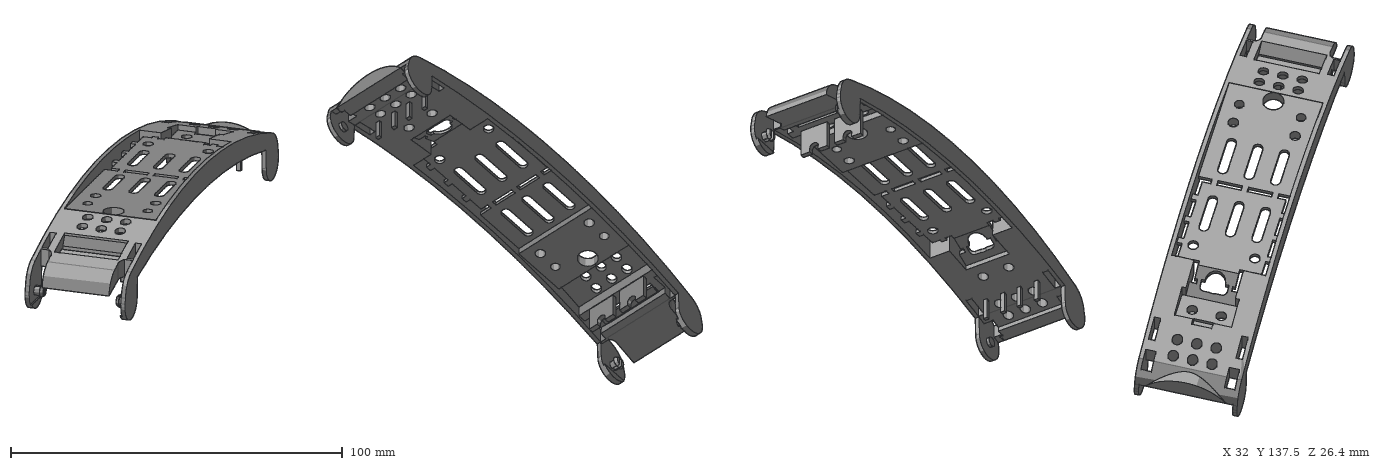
import cadquery as cq
import math

LENGTH = 137.5
WIDTH = 32.0
CROWN_Z = 26.4
WALL = 1.4
INNER_HALF = WIDTH / 2 - WALL
TOP_RADIUS = 182.8
UNDER_CROWN_Z = 18.7
UNDER_RADIUS = 235.1

FOOT_RADIUS = 5.5
FOOT_Y = LENGTH / 2 - FOOT_RADIUS
FOOT_INNER_Y = 57.5
FOOT_STRAIGHT_TOP_Z = 6.7
LIP_Y = 68.3
LIP_BOTTOM_Z = 8.5
BEND_MID = (66.7, 12.6)
FOOT_PAD_TOP_Z = 2.3
FOOT_PAD_THICKNESS = 0.5

FLOOR_Z = 22.4
FLOOR_FAR_Y = 30.0
FLOOR_NEAR_Y = -37.3
PANEL_HALF = 13.0
PANEL_FAR_Y = 28.9
PANEL_NEAR_Y = 0.3
PANEL_GAP_NEAR_Y = -1.4
BRIDGE = 1.9
SIDE_BRIDGE_YS = (23.0, 14.7, 6.3)
END_BRIDGE_X = 9.5

CHANNEL_HALF = 7.7
RAMP_START_Y = 30.4
POCKET_NEAR_Y = 39.3
POCKET_FAR_Y = 48.4
POCKET_HALF = 9.0
POCKET_Z = 18.1
NOTCH_HALF = 3.2
NOTCH_NEAR_Y = 47.0
NOTCH_FAR_Y = 50.0
NOTCH_Z = 17.0
HINGE_INNER_X = 6.3
HINGE_FAR_Y = 35.5
HINGE_HOOK_X = 5.5
HINGE_HOOK_Y = 34.2

HOLE_D = 3.2
SMALL_HOLE_D = 2.9
FINGER_HOLE_R = 3.2
FINGER_HOLE_Y = 34.1
LATCH_HOLE_HALF = 4.3
LATCH_HOLE_FAR_Y = 37.1
LATCH_HOLE_CORNER = 1.4
HOLE_PITCH_X = 6.0
FAR_HOLE_YS = (60.5, 55.5)
NEAR_HOLE_YS = (-40.3, -45.2)
POCKET_HOLE_X = 4.5
POCKET_HOLE_Y = 44.0
FLOOR_HOLE_X = 9.6
FLOOR_HOLE_YS = (23.6, -23.4)
SMALL_HOLE_Y = -30.4
LONG_SLOT_LENGTH = 13.3
LONG_SLOT_WIDTH = 3.0
LONG_SLOT_PITCH_X = 8.2
LONG_SLOT_YS = (11.1, -10.9)
SIDE_SLOT_INNER_X = 12.6
SIDE_SLOT_FAR = (50.3, 57.2)
SIDE_SLOT_NEAR = (-57.5, -50.0)

FAR_WINDOW_INNER_X = 11.4
FAR_WINDOW_YS = (60.4, 66.0)
TONGUE_HALF = 10.7
TONGUE_START_Y = -58.2
TONGUE_CORNER_X = 12.1
TONGUE_CORNER_MID = (11.1, -59.0)
TONGUE_CORNER_Y = -60.2
STRAP_HALF = 10.2
STRAP_FAR_Y = -49.5
STRAP_NEAR_Y = -58.7
STRAP_FAR_SLOPE_TOP_Z = 18.8
STRAP_FAR_SLOPE_END = (-51.1, 16.0)
STRAP_NEAR_SLOPE_END = (-55.3, 14.6)
STRAP_BAR_YS = (-52.4, -54.6)
STRAP_BAR_TOP_Z = 15.4
STRAP_BAR_DROP = 0.7
STRAP_BAR_THICKNESS = 1.0

SHEET = 1.2
SHELL_THICKNESS = 1.5
SHELL_YS = (-47.3, -38.0)
BOSS_BLOCK_YS = (-38.0, -19.2)
BOSS_BLOCK_BOTTOM_Z = 18.8
STRAP_HOLLOW_TOP_Z = 14.7

PIN_RADIUS = 1.5
PIN_INNER_X = 11.7
PIN_BARB_RADIUS = 2.0
PIN_BARB_LENGTH = 1.0
PIN_SPLIT = 1.0
STUB_LENGTH = 1.0
LEG_BOTTOM_Z = 5.9
LEG_TOP_Z = 16.5
LEG_WIDTH = 3.2
LEG_XS = (-9.1, -2.9, 2.9, 9.1)
LEG_ARCH_TOP_Z = 8.7
FAR_LEG_WIDTH = 1.4
NEAR_LEG_YS = (-49.0, -47.4)
FAR_LEG_YS = (52.2, 53.3)
HUMP_HALF = 12.6
HUMP_TOP_Z = 14.7

CUT_TOP = CROWN_Z + 1.4


def box(x0, x1, y0, y1, z0=-1.4, z1=CUT_TOP):
    """Axis-aligned block between opposite corners."""
    return cq.Workplane("XY").box(abs(x1 - x0), abs(y1 - y0), abs(z1 - z0)).translate(
        ((x0 + x1) / 2, (y0 + y1) / 2, (z0 + z1) / 2)
    )


def both_sides(shape):
    """The shape together with its mirror image across the YZ plane."""
    return shape.union(shape.mirror("YZ"))


def top_z(y):
    """Height of the outer arc at a given Y."""
    return CROWN_Z - TOP_RADIUS + math.sqrt(TOP_RADIUS**2 - y**2)


def under_z(y):
    """Height of the arc along the bottom of the walls at a given Y."""
    return UNDER_CROWN_Z - UNDER_RADIUS + math.sqrt(UNDER_RADIUS**2 - y**2)


def outer_arch():
    """Outline from one lip over the crown to the other, in the YZ plane."""
    bend_y, bend_z = BEND_MID
    fold_z = top_z(FOOT_Y)
    return (
        cq.Workplane("YZ")
        .moveTo(-LIP_Y, LIP_BOTTOM_Z)
        .threePointArc((-bend_y, bend_z), (-FOOT_Y, fold_z))
        .threePointArc((0, CROWN_Z), (FOOT_Y, fold_z))
        .threePointArc((bend_y, bend_z), (LIP_Y, LIP_BOTTOM_Z))
    )


def add_underside(outline):
    """Run the outline back along the shallow arc below the crown."""
    end_z = under_z(FOOT_INNER_Y)
    return outline.threePointArc((0, UNDER_CROWN_Z), (-FOOT_INNER_Y, end_z))


def core():
    """Arched slab between the walls, ending in a sharp lip at each end."""
    outline = outer_arch().lineTo(FOOT_INNER_Y, under_z(FOOT_INNER_Y))
    return add_underside(outline).close().extrude(INNER_HALF, both=True)


def side_wall():
    """Side wall on +X with a rounded foot at each end."""
    end_y = LENGTH / 2
    foot_inside_y = FOOT_Y - FOOT_RADIUS
    outline = (
        outer_arch()
        .lineTo(end_y, FOOT_STRAIGHT_TOP_Z)
        .lineTo(end_y, FOOT_RADIUS)
        .threePointArc((FOOT_Y, 0), (foot_inside_y, FOOT_RADIUS))
        .lineTo(FOOT_INNER_Y, under_z(FOOT_INNER_Y))
    )
    outline = (
        add_underside(outline)
        .lineTo(-foot_inside_y, FOOT_RADIUS)
        .threePointArc((-FOOT_Y, 0), (-end_y, FOOT_RADIUS))
        .lineTo(-end_y, FOOT_STRAIGHT_TOP_Z)
        .close()
    )
    return outline.extrude(WALL).translate((INNER_HALF, 0, 0))


def hump():
    """Arched block behind the far end, filling out its rounded bend."""
    return (
        cq.Workplane("XZ")
        .moveTo(-HUMP_HALF, LIP_BOTTOM_Z)
        .threePointArc((0, HUMP_TOP_Z), (HUMP_HALF, LIP_BOTTOM_Z))
        .close()
        .extrude(-(LIP_Y - FOOT_Y))
        .translate((0, FOOT_Y, 0))
    )


def legs(width, y_range):
    """Row of four flat legs hanging under the slab."""
    row = cq.Workplane("XY")
    for x in LEG_XS:
        row = row.union(box(x - width / 2, x + width / 2, *y_range, LEG_BOTTOM_Z, LEG_TOP_Z))
    return row


def near_legs():
    """Near row, whose outer pairs are joined above by round arches."""
    gap_start = LEG_XS[2] + LEG_WIDTH / 2
    gap_end = LEG_XS[3] - LEG_WIDTH / 2
    arch_radius = (gap_end - gap_start) / 2
    spring_z = LEG_ARCH_TOP_Z - arch_radius
    y_start, y_end = NEAR_LEG_YS
    bridge = box(gap_start, gap_end, y_start, y_end, spring_z, LEG_TOP_Z)
    opening = (
        cq.Workplane("XZ", origin=((gap_start + gap_end) / 2, y_end, spring_z))
        .circle(arch_radius).extrude(y_end - y_start)
    )
    return legs(LEG_WIDTH, NEAR_LEG_YS).union(both_sides(bridge.cut(opening)))


def pin_shaft(y, length):
    """Round shaft of the given length on the inside of the +X foot."""
    start = cq.Workplane("YZ", origin=(INNER_HALF - length, y, FOOT_RADIUS))
    return start.circle(PIN_RADIUS).extrude(length)


def snap_pin(y):
    """Split pin with a tapered barb at its tip."""
    barb = cq.Workplane("XY").add(cq.Solid.makeCone(
        PIN_RADIUS, PIN_BARB_RADIUS, PIN_BARB_LENGTH,
        cq.Vector(PIN_INNER_X, y, FOOT_RADIUS), cq.Vector(1, 0, 0),
    ))
    pin = pin_shaft(y, INNER_HALF - PIN_INNER_X).union(barb)
    return pin.cut(box(0, INNER_HALF, y - PIN_SPLIT / 2, y + PIN_SPLIT / 2))


def foot_pad(y):
    """Thin round segment stiffening the bottom of the +X foot."""
    disc = cq.Workplane("YZ").center(y, FOOT_RADIUS).circle(FOOT_RADIUS).extrude(FOOT_PAD_THICKNESS)
    disc = disc.translate((INNER_HALF - FOOT_PAD_THICKNESS, 0, 0))
    return disc.intersect(box(0, INNER_HALF, y - FOOT_RADIUS, y + FOOT_RADIUS, 0, FOOT_PAD_TOP_Z))


def floor_recess():
    """Flat-bottomed recess between the walls."""
    return box(-INNER_HALF, INNER_HALF, FLOOR_NEAR_Y, FLOOR_FAR_Y, FLOOR_Z)


def latch_pocket():
    """Ramp channel from the floor down to a wider pocket with an end notch."""
    channel = (
        cq.Workplane("YZ")
        .polyline([
            (PANEL_FAR_Y, FLOOR_Z),
            (RAMP_START_Y, FLOOR_Z),
            (POCKET_NEAR_Y, POCKET_Z),
            (POCKET_NEAR_Y, CUT_TOP),
            (PANEL_FAR_Y, CUT_TOP),
        ])
        .close()
        .extrude(CHANNEL_HALF, both=True)
    )
    pocket = box(-POCKET_HALF, POCKET_HALF, POCKET_NEAR_Y, POCKET_FAR_Y, POCKET_Z)
    notch = box(-NOTCH_HALF, NOTCH_HALF, NOTCH_NEAR_Y, NOTCH_FAR_Y, NOTCH_Z)
    return channel.union(pocket).union(notch)


def holes(points, diameter):
    """Vertical through-hole cutters at the given points."""
    return cq.Workplane("XY").pushPoints(points).circle(diameter / 2).extrude(CUT_TOP)


def round_holes():
    """Hole grids at both ends, hole pairs in floor and pocket, and the finger holes."""
    grid = [
        (column * HOLE_PITCH_X, y)
        for y in FAR_HOLE_YS + NEAR_HOLE_YS
        for column in (-1, 0, 1)
    ]
    pairs = [(side * FLOOR_HOLE_X, y) for y in FLOOR_HOLE_YS for side in (-1, 1)]
    pairs += [(side * POCKET_HOLE_X, POCKET_HOLE_Y) for side in (-1, 1)]
    small = [(side * FLOOR_HOLE_X, SMALL_HOLE_Y) for side in (-1, 1)]
    finger = [(0, -FINGER_HOLE_Y), (0, FINGER_HOLE_Y)]
    drilled = holes(grid + pairs, HOLE_D).union(holes(small, SMALL_HOLE_D))
    return drilled.union(holes(finger, 2 * FINGER_HOLE_R))


def latch_hole_head():
    """Wider rounded head on the finger hole in the ramp."""
    head = box(-LATCH_HOLE_HALF, LATCH_HOLE_HALF, FINGER_HOLE_Y, LATCH_HOLE_FAR_Y)
    return head.edges("|Z and >Y").fillet(LATCH_HOLE_CORNER)


def long_slots():
    """Two rows of three rounded slots through the floor."""
    points = [
        (column * LONG_SLOT_PITCH_X, y) for y in LONG_SLOT_YS for column in (-1, 0, 1)
    ]
    return (
        cq.Workplane("XY").pushPoints(points)
        .slot2D(LONG_SLOT_LENGTH, LONG_SLOT_WIDTH, 90).extrude(CUT_TOP)
    )


def panel_gaps():
    """Narrow gaps around the panel, interrupted by bridges, with hooks beside the ramp."""
    gaps = box(-INNER_HALF, INNER_HALF, PANEL_GAP_NEAR_Y, FLOOR_FAR_Y)
    gaps = gaps.cut(box(-PANEL_HALF, PANEL_HALF, PANEL_NEAR_Y, PANEL_FAR_Y))
    gaps = gaps.cut(box(-HINGE_INNER_X, HINGE_INNER_X, PANEL_FAR_Y, FLOOR_FAR_Y))
    for y in SIDE_BRIDGE_YS:
        gaps = gaps.cut(box(-INNER_HALF, INNER_HALF, y - BRIDGE / 2, y + BRIDGE / 2))
    gaps = gaps.cut(box(-BRIDGE / 2, BRIDGE / 2, PANEL_GAP_NEAR_Y, PANEL_NEAR_Y))
    end_bridge = box(
        END_BRIDGE_X - BRIDGE / 2, END_BRIDGE_X + BRIDGE / 2, PANEL_GAP_NEAR_Y, FLOOR_FAR_Y
    )
    gaps = gaps.cut(both_sides(end_bridge))
    hinge = box(HINGE_INNER_X, CHANNEL_HALF, PANEL_FAR_Y, HINGE_FAR_Y)
    hook = box(HINGE_HOOK_X, CHANNEL_HALF, HINGE_HOOK_Y, HINGE_FAR_Y)
    return gaps.union(both_sides(hinge.union(hook)))


def edge_openings():
    """Side slots and far corner windows against the walls."""
    opening = box(FAR_WINDOW_INNER_X, INNER_HALF, *FAR_WINDOW_YS)
    for y_range in (SIDE_SLOT_NEAR, SIDE_SLOT_FAR):
        opening = opening.union(box(SIDE_SLOT_INNER_X, INNER_HALF, *y_range))
    return both_sides(opening)


def tongue_relief():
    """Clearance that separates the near lip from the walls and leaves a tongue."""
    side = (
        cq.Workplane("XY")
        .moveTo(INNER_HALF, TONGUE_START_Y)
        .lineTo(TONGUE_CORNER_X, TONGUE_START_Y)
        .threePointArc(TONGUE_CORNER_MID, (TONGUE_HALF, TONGUE_CORNER_Y))
        .lineTo(TONGUE_HALF, -LENGTH / 2)
        .lineTo(INNER_HALF, -LENGTH / 2)
        .close()
        .extrude(CUT_TOP)
    )
    return both_sides(side)


def strap_window():
    """Window through the end shell whose long sides slope inward."""
    return (
        cq.Workplane("YZ")
        .polyline([
            (STRAP_FAR_Y, CUT_TOP),
            (STRAP_FAR_Y, STRAP_FAR_SLOPE_TOP_Z),
            STRAP_FAR_SLOPE_END,
            (STRAP_FAR_SLOPE_END[0], 0),
            (STRAP_NEAR_SLOPE_END[0], 0),
            STRAP_NEAR_SLOPE_END,
            (STRAP_NEAR_Y, top_z(STRAP_NEAR_Y)),
            (STRAP_NEAR_Y, CUT_TOP),
        ])
        .close()
        .extrude(STRAP_HALF, both=True)
    )


def strap_bar():
    """Inclined bar across the window, sunk below the outer surface."""
    far_y, near_y = STRAP_BAR_YS
    far_z = STRAP_BAR_TOP_Z
    near_z = far_z - STRAP_BAR_DROP
    return (
        cq.Workplane("YZ")
        .polyline([
            (far_y, far_z),
            (near_y, near_z),
            (near_y, near_z - STRAP_BAR_THICKNESS),
            (far_y, far_z - STRAP_BAR_THICKNESS),
        ])
        .close()
        .extrude(STRAP_HALF, both=True)
    )


def panel_hollow():
    """Space below the floor sheet and the ramp sheet."""
    ramp_hollow = (
        cq.Workplane("YZ")
        .polyline([
            (BOSS_BLOCK_YS[1], 0),
            (BOSS_BLOCK_YS[1], FLOOR_Z - SHEET),
            (RAMP_START_Y, FLOOR_Z - SHEET),
            (POCKET_NEAR_Y, POCKET_Z - SHEET),
            (POCKET_NEAR_Y, 0),
        ])
        .close()
        .extrude(CHANNEL_HALF, both=True)
    )
    floor_hollow = box(-INNER_HALF, INNER_HALF, BOSS_BLOCK_YS[1], FLOOR_FAR_Y, 0, FLOOR_Z - SHEET)
    return ramp_hollow.union(floor_hollow)


def boss_hollow():
    """Space below the thick block that holds the near screw holes."""
    return box(-INNER_HALF, INNER_HALF, *BOSS_BLOCK_YS, 0, BOSS_BLOCK_BOTTOM_Z)


def shell_hollow():
    """Space below the curved shell around the near hole grid."""
    start_y, end_y = SHELL_YS
    mid_y = (start_y + end_y) / 2
    return (
        cq.Workplane("YZ")
        .moveTo(start_y, 0)
        .lineTo(start_y, top_z(start_y) - SHELL_THICKNESS)
        .threePointArc(
            (mid_y, top_z(mid_y) - SHELL_THICKNESS), (end_y, top_z(end_y) - SHELL_THICKNESS)
        )
        .lineTo(end_y, 0)
        .close()
        .extrude(INNER_HALF, both=True)
    )


def strap_hollow():
    """Open space below the strap window, from the lip to the shell hollow."""
    return box(-INNER_HALF, INNER_HALF, STRAP_NEAR_SLOPE_END[0], SHELL_YS[0], 0, STRAP_HOLLOW_TOP_Z)


def centre_body():
    """Everything between the two walls."""
    body = core().union(hump())
    for hollow in (panel_hollow, boss_hollow, shell_hollow, strap_hollow):
        body = body.cut(hollow())
    body = body.union(near_legs()).union(legs(FAR_LEG_WIDTH, FAR_LEG_YS))
    for cutter in (
        floor_recess, latch_pocket, round_holes, latch_hole_head, long_slots,
        panel_gaps, edge_openings, tongue_relief, strap_window,
    ):
        body = body.cut(cutter())
    return body.union(strap_bar())


def wall_with_feet():
    """+X wall with a snap pin and pad on the near foot and a short stub on the far one."""
    wall = side_wall().union(snap_pin(-FOOT_Y)).union(foot_pad(-FOOT_Y))
    return wall.union(pin_shaft(FOOT_Y, STUB_LENGTH))


result = centre_body().union(both_sides(wall_with_feet()))